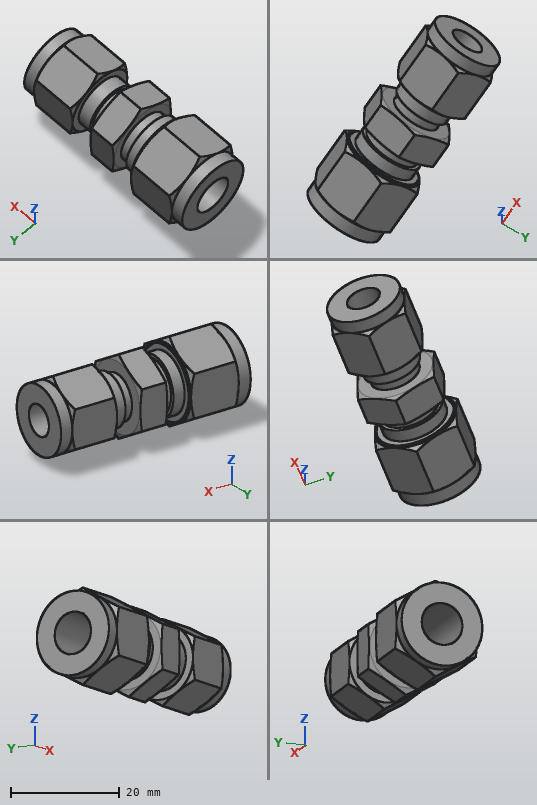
import cadquery as cq
import math

LENGTH = 42.3

LARGE_HEX_START = 2.7
LARGE_HEX_END = 13.5
LARGE_COLLAR_END = 13.8
LARGE_SHOULDER = 16.33
BODY_HEX_START = 18.5
BODY_HEX_END = 24.6
SMALL_SHOULDER = 26.6
SMALL_HEX_START = 29.6
SMALL_HEX_END = 39.75

LARGE_HEX_WIDTH = 16.0
BODY_HEX_WIDTH = 14.97
SMALL_HEX_WIDTH = 14.3

LARGE_RIM_DIAMETER = LARGE_HEX_WIDTH
LARGE_COLLAR_DIAMETER = 15.2
LARGE_SHOULDER_DIAMETER = 12.7
NECK_DIAMETER = 11.12
GROOVE_DIAMETER = 9.6
SMALL_RIM_DIAMETER = 14.35

NUT_BEVEL_ANGLE = 30.0
BODY_BEVEL_ANGLE = 15.0
BODY_BEVEL_INSET = 0.15

BORE_DIAMETER = 4.8
LARGE_SOCKET_DIAMETER = 8.05
SMALL_SOCKET_DIAMETER = 6.45


def cylinder(start, end, diameter):
    """Round bar along X between two stations."""
    return cq.Workplane("YZ", origin=(start, 0, 0)).circle(diameter / 2).extrude(end - start)


def beveled_hexagon(start, end, width, bevel_angle, bevel_inset=0.0):
    """Hexagonal bar with corners up and down, its end corners cut back by cones."""
    corner_radius = width / math.sqrt(3)
    face_radius = width / 2 - bevel_inset
    bevel_depth = (corner_radius - face_radius) * math.tan(math.radians(bevel_angle))
    prism = (
        cq.Workplane("YZ", origin=(start, 0, 0))
        .polygon(6, 2 * corner_radius)
        .extrude(end - start)
        .rotate((0, 0, 0), (1, 0, 0), 90)
    )
    envelope = (
        cq.Workplane("XY")
        .moveTo(start, 0)
        .lineTo(start, face_radius)
        .lineTo(start + bevel_depth, corner_radius)
        .lineTo(end - bevel_depth, corner_radius)
        .lineTo(end, face_radius)
        .lineTo(end, 0)
        .close()
        .revolve(360, (0, 0, 0), (1, 0, 0))
    )
    return prism.intersect(envelope)


large_nut = (
    cylinder(0, LARGE_HEX_START, LARGE_RIM_DIAMETER)
    .union(beveled_hexagon(LARGE_HEX_START, LARGE_HEX_END, LARGE_HEX_WIDTH, NUT_BEVEL_ANGLE))
    .union(cylinder(LARGE_HEX_END, LARGE_COLLAR_END, LARGE_COLLAR_DIAMETER))
)

body = (
    cylinder(LARGE_COLLAR_END, LARGE_SHOULDER, LARGE_SHOULDER_DIAMETER)
    .union(cylinder(LARGE_SHOULDER, BODY_HEX_START, NECK_DIAMETER))
    .union(beveled_hexagon(BODY_HEX_START, BODY_HEX_END, BODY_HEX_WIDTH, BODY_BEVEL_ANGLE, BODY_BEVEL_INSET))
    .union(cylinder(BODY_HEX_END, SMALL_SHOULDER, GROOVE_DIAMETER))
    .union(cylinder(SMALL_SHOULDER, SMALL_HEX_START, NECK_DIAMETER))
)

small_nut = (
    beveled_hexagon(SMALL_HEX_START, SMALL_HEX_END, SMALL_HEX_WIDTH, NUT_BEVEL_ANGLE)
    .union(cylinder(SMALL_HEX_END, LENGTH, SMALL_RIM_DIAMETER))
)

bore = cylinder(0, LENGTH, BORE_DIAMETER)
large_socket = cylinder(0, LARGE_SHOULDER, LARGE_SOCKET_DIAMETER)
small_socket = cylinder(SMALL_SHOULDER, LENGTH, SMALL_SOCKET_DIAMETER)

result = large_nut.union(body).union(small_nut).cut(bore).cut(large_socket).cut(small_socket)